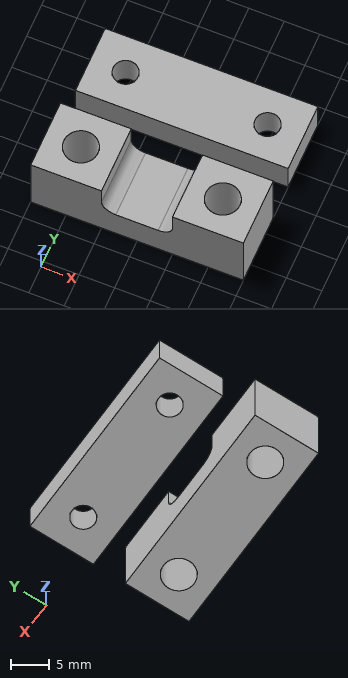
import cadquery as cq

length = 30.0
block_side = length / 3
plate_depth = block_side
plate_height = block_side / 2
body_gap = block_side / 2
hole_spacing = length * 2 / 3

slot_width = length / 3
slot_depth = block_side / 2
slot_corner_radius = 2.0

block_hole_diameter = 4.8
plate_hole_diameter = 3.5


def make_drilled_bar(depth, height, front_y, hole_diameter):
    """Rectangular bar on Z = 0, centred on X, with two vertical through holes."""
    return (
        cq.Workplane("XY")
        .box(length, depth, height, centered=(True, False, False))
        .translate((0, front_y, 0))
        .faces(">Z")
        .workplane(centerOption="CenterOfBoundBox")
        .rarray(hole_spacing, 0.3, 2, 1)
        .hole(hole_diameter)
    )


def make_slot_cutter():
    """Slot running through the block along Y, with rounded bottom corners."""
    return (
        cq.Workplane("XY")
        .box(slot_width, block_side, slot_depth, centered=(True, False, False))
        .edges("|Y and <Z")
        .fillet(slot_corner_radius)
        .translate((0, 0, block_side - slot_depth))
    )


def make_block():
    """Front block: drilled bar with the slot across its top."""
    bar = make_drilled_bar(block_side, block_side, 0, block_hole_diameter)
    return bar.cut(make_slot_cutter())


def make_plate():
    """Rear plate: plain drilled bar, half the height of the block."""
    plate_front_y = block_side + body_gap
    return make_drilled_bar(plate_depth, plate_height, plate_front_y, plate_hole_diameter)


block = make_block()
plate = make_plate()

result = cq.Compound.makeCompound([block.val(), plate.val()])